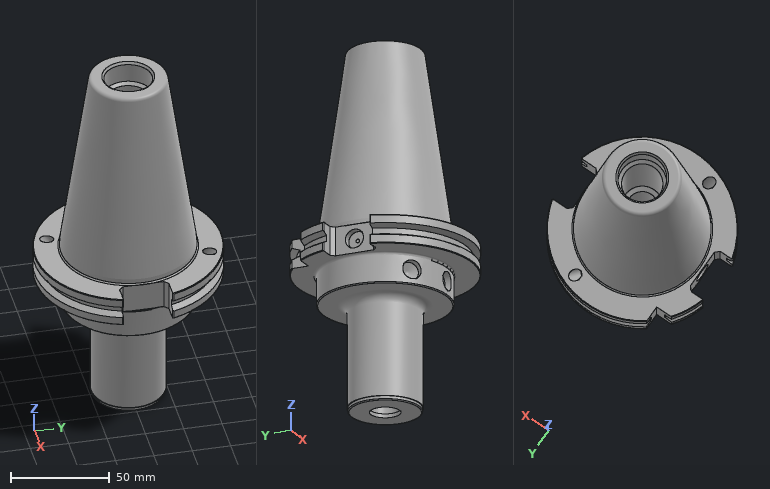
import cadquery as cq
import math

total_height = 194.6
gauge_z = 92.8
flange_top_z = 89.7
flange_bottom_z = 74.1
collar_bottom_z = 57.6

flange_radius = 48.6
taper_base_radius = 35.0
taper_slope = 7 / 48
collar_radius = 35.0
nose_radius = 19.5

taper_tip_fillet = 2.1
nose_root_fillet = 4.7
taper_root_fillet = 0.8
collar_root_fillet = 1.4
collar_edge_chamfer = 0.5
flange_edge_chamfer = 0.4

groove_z = (flange_top_z + flange_bottom_z) / 2
groove_floor_width = 3.1
groove_mouth_width = 6.5
groove_radius = 45.1

bore_radius = 8.0
thread_radius = 10.5
pilot_radius = 12.5
pilot_mouth_radius = 13.5
pilot_mouth_depth = 1.4
pilot_depth = 11.7
pilot_cone_height = 1.4
thread_end_z = 136.2
thread_cone_height = 1.4

slot_width = 25.7
slot_floor_left = 37.2
slot_floor_right = 35.5
slot_corner_chamfer = 2.1
slot_mouth_chamfer = 0.8

notch_x = -29.4
notch_y = 29.5

screw_hole_radius = 5.0
screw_hole_depth = 3.9
screw_hole_z = 65.8
screw_hole_angles = (228, 270)
drill_point_angle = 118

coolant_hole_radius = 3.0
coolant_hole_distance = 41.8
coolant_hole_depth = 11.7
coolant_hole_tilt = 35
coolant_hole_angles = (70, 250)

chip_recess_radius = 5.0
chip_recess_depth = 4.0
centre_mark_radius = 1.0
centre_mark_depth = 0.5

end_ring_radius = 19.0
end_ring_height = 2.1
end_ring_chamfer = 0.5


def make_turned_body():
    """Taper, flange, collar and nose as one revolved outline."""
    tip_radius = taper_base_radius - (total_height - gauge_z) * taper_slope
    profile = (
        cq.Workplane("XZ")
        .moveTo(0, end_ring_height)
        .lineTo(nose_radius, end_ring_height)
        .lineTo(nose_radius, collar_bottom_z - nose_root_fillet)
        .radiusArc((nose_radius + nose_root_fillet, collar_bottom_z), nose_root_fillet)
        .lineTo(collar_radius - collar_edge_chamfer, collar_bottom_z)
        .lineTo(collar_radius, collar_bottom_z + collar_edge_chamfer)
        .lineTo(collar_radius, flange_bottom_z - collar_root_fillet)
        .radiusArc((collar_radius + collar_root_fillet, flange_bottom_z), collar_root_fillet)
        .lineTo(flange_radius - flange_edge_chamfer, flange_bottom_z)
        .lineTo(flange_radius, flange_bottom_z + flange_edge_chamfer)
        .lineTo(flange_radius, groove_z - groove_mouth_width / 2)
        .lineTo(groove_radius, groove_z - groove_floor_width / 2)
        .lineTo(groove_radius, groove_z + groove_floor_width / 2)
        .lineTo(flange_radius, groove_z + groove_mouth_width / 2)
        .lineTo(flange_radius, flange_top_z - flange_edge_chamfer)
        .lineTo(flange_radius - flange_edge_chamfer, flange_top_z)
        .lineTo(taper_base_radius + taper_root_fillet, flange_top_z)
        .radiusArc((taper_base_radius, flange_top_z + taper_root_fillet), taper_root_fillet)
        .lineTo(taper_base_radius, gauge_z)
        .lineTo(tip_radius, total_height)
        .lineTo(0, total_height)
        .close()
    )
    body = profile.revolve(360, (0, 0), (0, 1))
    return body.faces(">Z").edges().fillet(taper_tip_fillet)


def make_bore():
    """Pilot, thread bore and through bore as one revolved cutter."""
    pilot_end_z = total_height - pilot_depth
    return (
        cq.Workplane("XZ")
        .moveTo(0, 0)
        .lineTo(bore_radius, 0)
        .lineTo(bore_radius, thread_end_z - thread_cone_height)
        .lineTo(thread_radius, thread_end_z)
        .lineTo(thread_radius, pilot_end_z - pilot_cone_height)
        .lineTo(pilot_radius, pilot_end_z)
        .lineTo(pilot_radius, total_height - pilot_mouth_depth)
        .lineTo(pilot_mouth_radius, total_height)
        .lineTo(0, total_height)
        .close()
        .revolve(360, (0, 0), (0, 1))
    )


def make_drive_slot(floor_distance):
    """Cutter for the +X slot, with bevelled floor corners and a flared mouth."""
    half_width = slot_width / 2
    rim_x = math.sqrt(flange_radius**2 - half_width**2)
    flare_start_x = rim_x - slot_mouth_chamfer
    flare_half_width = half_width + flange_radius - flare_start_x
    outline = (
        cq.Workplane("XY", origin=(0, 0, flange_bottom_z))
        .moveTo(floor_distance, -half_width)
        .lineTo(flare_start_x, -half_width)
        .lineTo(flange_radius, -flare_half_width)
        .lineTo(flange_radius, flare_half_width)
        .lineTo(flare_start_x, half_width)
        .lineTo(floor_distance, half_width)
        .close()
    )
    slot = outline.extrude(flange_top_z - flange_bottom_z)
    return slot.edges("|Z and <X").chamfer(slot_corner_chamfer)


def make_notch():
    """Cutter for the square notch, open to the -X and +Y sides."""
    return cq.Workplane("XY").box(
        flange_radius, flange_radius, flange_top_z - flange_bottom_z, centered=False
    ).translate((notch_x - flange_radius, notch_y, flange_bottom_z))


def make_blind_drill(radius, depth):
    """Drill pointing down -Z with its cylinder from z = -depth up past z = 0."""
    tip_depth = depth + radius / math.tan(math.radians(drill_point_angle / 2))
    return (
        cq.Workplane("XZ")
        .moveTo(0, -tip_depth)
        .lineTo(radius, -depth)
        .lineTo(radius, radius)
        .lineTo(0, radius)
        .close()
        .revolve(360, (0, 0), (0, 1))
    )


def make_screw_hole(angle):
    """Cutter for a radial blind hole in the collar wall."""
    drill = make_blind_drill(screw_hole_radius, screw_hole_depth)
    return (
        drill.rotate((0, 0, 0), (0, 1, 0), 90)
        .translate((collar_radius, 0, screw_hole_z))
        .rotate((0, 0, 0), (0, 0, 1), angle)
    )


def make_coolant_hole(angle):
    """Cutter for a blind hole that leans from the flange top toward the axis."""
    drill = make_blind_drill(coolant_hole_radius, coolant_hole_depth)
    return (
        drill.rotate((0, 0, 0), (0, 1, 0), coolant_hole_tilt)
        .translate((coolant_hole_distance, 0, flange_top_z))
        .rotate((0, 0, 0), (0, 0, 1), angle)
    )


def make_chip_recess():
    """Flat-bottomed recess in the -X slot floor, with a conical mark in its middle."""
    floor_x = chip_recess_depth - slot_floor_left
    recess = (
        cq.Workplane("YZ", origin=(-slot_floor_left, 0, groove_z))
        .circle(chip_recess_radius)
        .extrude(chip_recess_depth)
    )
    mark = cq.Solid.makeCone(
        centre_mark_radius,
        0,
        centre_mark_depth,
        cq.Vector(floor_x, 0, groove_z),
        cq.Vector(1, 0, 0),
    )
    return recess.union(cq.Workplane(mark))


def make_end_ring():
    """Ring seated against the end face of the nose, carrying on the through bore."""
    ring = cq.Workplane("XY").circle(end_ring_radius).extrude(end_ring_height)
    ring = ring.faces("<Z").edges().chamfer(end_ring_chamfer)
    bore = cq.Workplane("XY").circle(bore_radius).extrude(end_ring_height)
    return ring.cut(bore)


holder = make_turned_body()
holder = holder.cut(make_bore())
holder = holder.cut(make_drive_slot(slot_floor_right))
holder = holder.cut(make_drive_slot(slot_floor_left).rotate((0, 0, 0), (0, 0, 1), 180))
holder = holder.cut(make_notch())
for angle in screw_hole_angles:
    holder = holder.cut(make_screw_hole(angle))
for angle in coolant_hole_angles:
    holder = holder.cut(make_coolant_hole(angle))
holder = holder.cut(make_chip_recess())

end_ring = make_end_ring()

result = cq.Compound.makeCompound([holder.val(), end_ring.val()])